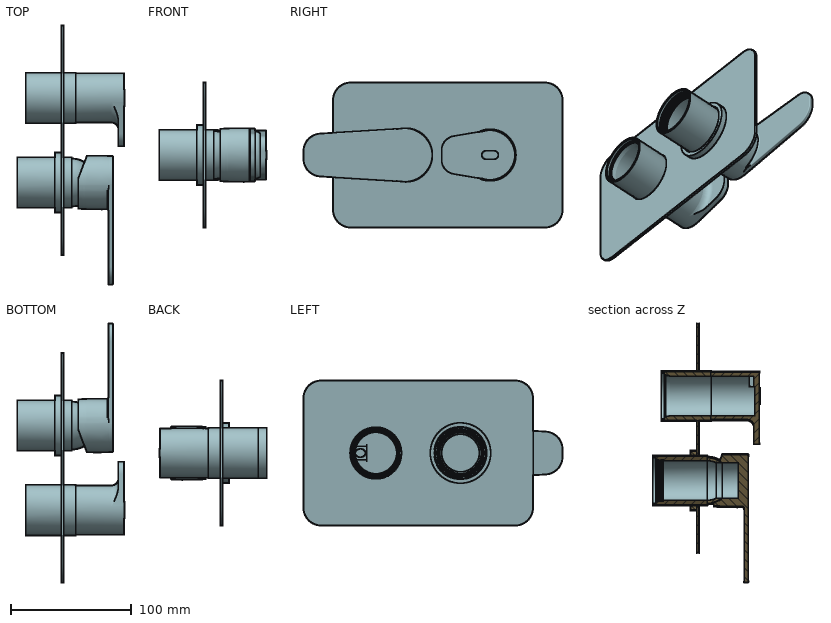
import cadquery as cq
import math


plate_length = 190.0
plate_height = 120.0
plate_thickness = 2.0
plate_corner_radius = 15.0
axis_offset = 35.0
diverter_y = axis_offset
mixer_y = -axis_offset
diverter_hole_diameter = 42.5
mixer_hole_diameter = 43.0

sleeve_diameter = 42.0
sleeve_bore_diameter = 34.3
counterbore_diameter = 39.0
counterbore_depth = 2.5
lead_in_diameter = 37.0
throat_diameter = 35.8
throat_depth = 3.6
taper_end_depth = 7.5
diverter_sleeve_rear = -29.4
diverter_sleeve_front = 12.0
mixer_sleeve_rear = -36.5
mixer_sleeve_front = 8.8
thread_groove_count = 6
thread_pitch = 0.9

collar_diameter = 50.0
collar_thickness = 5.1

knob_diameter = 41.0
knob_front = 52.1
knob_bore_diameter = sleeve_bore_diameter
knob_floor = 47.8
knob_edge_radius = 0.6
knob_lever_back = 47.2
knob_lever_length = 40.0
knob_lever_tip_half_width = 14.0
knob_lever_corner_radius = 12.0
knob_lever_fillet = 5.4

pad_near = 7.5
pad_width = 11.0
pad_height = 4.3
pad_fillet = 1.5
pad_recess_offset = 12.9
pad_recess_length = 8.5
pad_recess_width = 6.9
pad_recess_depth = 1.0

marker_length = 13.7
marker_width = 6.9
marker_thickness = 0.6

dome_radius = 20.0
dome_inner_radius = sleeve_bore_diameter / 2
dome_hole_radius = 31.0 / 2

handle_rear = 14.0
handle_front = 42.9
handle_rear_radius = 21.7
handle_bulge_radius = 22.3
handle_radius = 22.0
handle_edge_radius = 1.0
handle_floor = 34.3
handle_lever_back = 39.0
handle_lever_length = 84.5
handle_lever_tip_half_width = 17.0
handle_lever_corner_radius = 15.0
handle_lever_fillet = 1.5
handle_lever_rear_edge_radius = 0.6
relief_start_y = 2.8
relief_run_x = 7.0
relief_run_y = 18.9


def disc(y, diameter, x_start, x_end):
    """Cylinder on the valve axis at y."""
    return cq.Workplane("YZ", origin=(x_start, y, 0)).circle(diameter / 2).extrude(x_end - x_start)


def profile(y):
    """Sketch plane for an (x, radius) profile of a part turned about the valve axis at y."""
    return cq.Workplane("XY", origin=(0, y, 0))


def turn(sketch):
    """Close an (x, radius) profile and revolve it about its valve axis."""
    return sketch.close().revolve(360, (0, 0), (1, 0))


def make_plate():
    plate = (
        cq.Workplane("YZ")
        .rect(plate_length, plate_height)
        .extrude(plate_thickness)
        .edges("|X")
        .fillet(plate_corner_radius)
    )
    plate = plate.cut(disc(diverter_y, diverter_hole_diameter, 0, plate_thickness))
    return plate.cut(disc(mixer_y, mixer_hole_diameter, 0, plate_thickness))


def make_sleeve(y, rear, front):
    return turn(
        profile(y)
        .moveTo(rear, sleeve_diameter / 2)
        .lineTo(rear, counterbore_diameter / 2)
        .lineTo(rear + counterbore_depth, counterbore_diameter / 2)
        .lineTo(rear + counterbore_depth, lead_in_diameter / 2)
        .lineTo(rear + throat_depth, throat_diameter / 2)
        .lineTo(rear + taper_end_depth, sleeve_bore_diameter / 2)
        .lineTo(front, sleeve_bore_diameter / 2)
        .lineTo(front, sleeve_diameter / 2)
    )


def make_mixer_sleeve():
    """Sleeve with a row of V grooves as the thread in its mouth."""
    sleeve = make_sleeve(mixer_y, mixer_sleeve_rear, mixer_sleeve_front)
    for index in range(thread_groove_count):
        start = mixer_sleeve_rear + throat_depth + index * thread_pitch
        cutter = turn(
            profile(mixer_y)
            .moveTo(start, 0)
            .lineTo(start, sleeve_bore_diameter / 2)
            .lineTo(start + thread_pitch / 2, throat_diameter / 2)
            .lineTo(start + thread_pitch, sleeve_bore_diameter / 2)
            .lineTo(start + thread_pitch, 0)
        )
        sleeve = sleeve.cut(cutter)
    return sleeve


def make_collar():
    collar = disc(mixer_y, collar_diameter, -collar_thickness, 0)
    return collar.cut(disc(mixer_y, mixer_hole_diameter, -collar_thickness, 0))


def make_lever(y, radius, length, tip_half_width, corner_radius, back, front, fillet, rear_edge_radius=0):
    """Paddle towards -Y with sides tangent to the hub and a fillet under it against the hub."""
    tip_distance = math.hypot(length, tip_half_width)
    tangent_angle = math.atan2(tip_half_width, length) + math.acos(radius / tip_distance)
    tangent_y = -radius * math.cos(tangent_angle)
    tangent_z = radius * math.sin(tangent_angle)
    rear = back - fillet
    outline = (
        cq.Workplane("YZ", origin=(back, y, 0))
        .moveTo(tangent_y, tangent_z)
        .lineTo(-length, tip_half_width)
        .lineTo(-length, -tip_half_width)
        .lineTo(tangent_y, -tangent_z)
        .threePointArc((radius, 0), (tangent_y, tangent_z))
        .close()
    )
    paddle = outline.extrude(front - back).edges("|X and <Y").fillet(corner_radius)
    if rear_edge_radius:
        paddle = paddle.faces("<X").edges().fillet(rear_edge_radius)
    skirt = paddle.faces("<X").wires().toPending().extrude(-fillet)
    arc_middle = fillet * math.sqrt(0.5)
    envelope = turn(
        profile(y)
        .moveTo(rear, 0)
        .lineTo(rear, radius)
        .threePointArc((rear + arc_middle, radius + fillet - arc_middle), (back, radius + fillet))
        .lineTo(back, 0)
    )
    return paddle.union(skirt.intersect(envelope))


def make_pad():
    """Raised pad with an oval recess, filleted into the floor of the knob bore."""
    reach = knob_diameter / 2 - pad_near
    half = pad_width / 2
    top = knob_floor - pad_height
    foot = half + pad_fillet
    arc_middle = pad_fillet * (1 - math.sqrt(0.5))
    section = (
        cq.Workplane("XZ", origin=(0, diverter_y + pad_near, 0))
        .moveTo(top, -half)
        .lineTo(top, half)
        .lineTo(knob_floor - pad_fillet, half)
        .threePointArc((knob_floor - arc_middle, half + arc_middle), (knob_floor, foot))
        .lineTo(knob_floor, -foot)
        .threePointArc((knob_floor - arc_middle, -half - arc_middle), (knob_floor - pad_fillet, -half))
        .close()
        .extrude(-reach)
    )
    pad = section.intersect(disc(diverter_y, knob_diameter, top, knob_floor))
    recess = (
        cq.Workplane("YZ", origin=(top, diverter_y + pad_recess_offset, 0))
        .ellipse(pad_recess_length / 2, pad_recess_width / 2)
        .extrude(pad_recess_depth)
    )
    return pad.cut(recess)


def make_knob():
    lever = make_lever(
        diverter_y,
        knob_diameter / 2,
        knob_lever_length,
        knob_lever_tip_half_width,
        knob_lever_corner_radius,
        knob_lever_back,
        knob_front,
        knob_lever_fillet,
    )
    knob = disc(diverter_y, knob_diameter, diverter_sleeve_front, knob_front).union(lever)
    knob = knob.faces(">X").edges().fillet(knob_edge_radius)
    knob = knob.cut(disc(diverter_y, knob_bore_diameter, diverter_sleeve_front, knob_floor))
    return knob.union(make_pad())


def make_marker():
    return (
        cq.Workplane("YZ", origin=(knob_front, diverter_y, 0))
        .slot2D(marker_length, marker_width)
        .extrude(marker_thickness)
    )


def make_ball():
    """Ball about the front end of the mixer sleeve."""
    return turn(
        profile(mixer_y)
        .moveTo(mixer_sleeve_front - dome_radius, 0)
        .threePointArc((mixer_sleeve_front, dome_radius), (mixer_sleeve_front + dome_radius, 0))
    )


def arc_point(radius, height):
    """Point at the given height on a circle about the front end of the mixer sleeve."""
    return (mixer_sleeve_front + math.sqrt(radius**2 - height**2), height)


def make_dome():
    """Hollow half ball on the front end of the mixer sleeve, open in the middle."""
    inner_middle = (dome_inner_radius + dome_hole_radius) / 2
    outer_middle = (dome_radius + dome_hole_radius) / 2
    return turn(
        profile(mixer_y)
        .moveTo(mixer_sleeve_front, dome_inner_radius)
        .threePointArc(
            arc_point(dome_inner_radius, inner_middle),
            arc_point(dome_inner_radius, dome_hole_radius),
        )
        .lineTo(*arc_point(dome_radius, dome_hole_radius))
        .threePointArc(arc_point(dome_radius, outer_middle), (mixer_sleeve_front, dome_radius))
    )


def make_handle():
    lever = make_lever(
        mixer_y,
        handle_radius,
        handle_lever_length,
        handle_lever_tip_half_width,
        handle_lever_corner_radius,
        handle_lever_back,
        handle_front,
        handle_lever_fillet,
        handle_lever_rear_edge_radius,
    )
    lever = lever.faces(">X").edges().fillet(handle_edge_radius)
    barrel_end = handle_lever_back + handle_lever_rear_edge_radius
    barrel_middle = (handle_rear + barrel_end) / 2
    barrel = turn(
        profile(mixer_y)
        .moveTo(handle_rear, 0)
        .lineTo(handle_rear, handle_rear_radius)
        .threePointArc((barrel_middle, handle_bulge_radius), (barrel_end, handle_radius))
        .lineTo(barrel_end, 0)
    )
    relief = (
        profile(mixer_y)
        .moveTo(handle_rear, relief_start_y)
        .lineTo(handle_rear + 2 * relief_run_x, relief_start_y + 2 * relief_run_y)
        .lineTo(handle_rear, relief_start_y + 2 * relief_run_y)
        .close()
        .extrude(2 * handle_bulge_radius, both=True)
    )
    socket = make_ball().union(disc(mixer_y, 2 * dome_hole_radius, handle_rear, handle_floor))
    return barrel.union(lever).cut(relief).cut(socket)


plate = make_plate()
diverter_sleeve = make_sleeve(diverter_y, diverter_sleeve_rear, diverter_sleeve_front)
mixer_sleeve = make_mixer_sleeve()
collar = make_collar()
knob = make_knob()
marker = make_marker()
dome = make_dome()
handle = make_handle()

result = cq.Compound.makeCompound(
    [
        plate.val(),
        diverter_sleeve.val(),
        mixer_sleeve.val(),
        collar.val(),
        knob.val(),
        marker.val(),
        dome.val(),
        handle.val(),
    ]
)